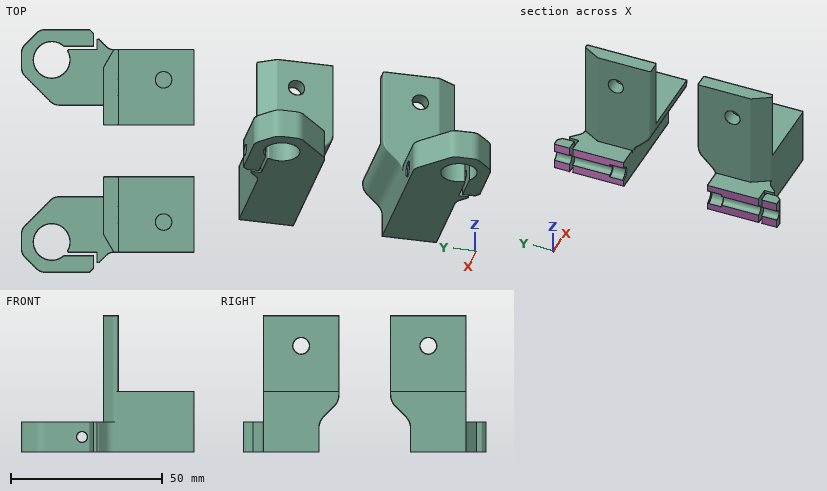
import cadquery as cq
import math

length = 57.0
half_span = 40.0
height = 45.0
edge_radius = 0.5

block_height = 20.0
block_size = 25.0
plate_thickness = 5.0
plate_back = length - block_size
plate_front = plate_back - plate_thickness
inner_face = 8.5
outer_face = inner_face + block_size
bevel_width = 6.0
bevel_depth = bevel_width * math.tan(math.radians(30))

undercut_face = 15.0
undercut_top = 16.7
undercut_bottom = undercut_top - (undercut_face - inner_face)
undercut_radius = 5.2

flange_height = 10.0
flange_radius = 4.0
bore_diameter = 12.0
bore_x = 10.0
bore_y = half_span - bore_x
outer_corner_cut = 6.2
inner_corner_cut = 10.8
slot_width = 1.0
arm_end = 23.8
arm_chamfer = 1.4
spur_front = arm_end + slot_width
spur_root = 29.0
spur_height = spur_root - spur_front
spur_root_radius = 3.0

mount_diameter = 5.4
plate_hole_z = 35.0
plate_hole_y = inner_face + block_size / 2
block_hole_x = 46.9
block_hole_y = 23.4
block_hole_depth = block_height / 2
clamp_screw_diameter = 3.5
clamp_recess_diameter = 5.0
clamp_recess_depth = clamp_recess_diameter
clamp_mouth_diameter = 5.1
clamp_mouth_depth = 0.5
clamp_screw_x = 2 * bore_x
clamp_screw_z = flange_height / 2


def cylinder(start, direction, diameter, depth):
    """Solid cylinder used to cut a hole."""
    return cq.Workplane(
        cq.Solid.makeCylinder(diameter / 2, depth, cq.Vector(*start), cq.Vector(*direction))
    )


def make_upright():
    """Bevelled plate standing in front of the block, undercut along the inner side."""
    plate = (
        cq.Workplane("XY")
        .moveTo(plate_front, inner_face)
        .lineTo(plate_back, inner_face)
        .lineTo(plate_back, outer_face)
        .lineTo(plate_front + bevel_depth, outer_face)
        .lineTo(plate_front, outer_face - bevel_width)
        .close()
        .extrude(height)
    )
    block = cq.Workplane("XY").box(block_size, block_size, block_height, centered=False)
    upright = plate.union(block.translate((plate_back, inner_face, 0)))

    undercut = (
        cq.Workplane("YZ")
        .polyline([(0, 0), (undercut_face, 0), (undercut_face, undercut_bottom),
                   (inner_face, undercut_top), (inner_face, height), (0, height)])
        .close()
        .extrude(length)
    )
    undercut = undercut.edges(
        cq.selectors.NearestToPointSelector((length / 2, undercut_face, undercut_bottom))
    ).fillet(undercut_radius)
    undercut = undercut.edges(
        cq.selectors.NearestToPointSelector((length / 2, inner_face, undercut_top))
    ).fillet(undercut_radius)
    upright = upright.cut(undercut)

    upright = upright.edges("|Z").edges(
        cq.selectors.BoxSelector((0, 0, block_height), (length, half_span, height))
    ).fillet(edge_radius)
    return upright.faces(">X").edges("|Z and >Y").fillet(edge_radius)


def make_flange():
    """Clamp flange outline with its bore, split and stop spur."""
    flange = (
        cq.Workplane("XY")
        .moveTo(plate_back, undercut_face)
        .lineTo(inner_corner_cut, undercut_face)
        .lineTo(0, undercut_face + inner_corner_cut)
        .lineTo(0, half_span - outer_corner_cut)
        .lineTo(outer_corner_cut, half_span)
        .lineTo(arm_end - arm_chamfer, half_span)
        .lineTo(arm_end, half_span - arm_chamfer)
        .lineTo(arm_end, outer_face + slot_width)
        .lineTo(bore_x, outer_face + slot_width)
        .lineTo(bore_x, outer_face)
        .lineTo(spur_front, outer_face)
        .lineTo(spur_front, outer_face + spur_height)
        .lineTo(spur_root, outer_face)
        .lineTo(plate_back, outer_face)
        .close()
        .extrude(flange_height)
    )
    corner_rounds = [
        (inner_corner_cut, undercut_face, flange_radius),
        (0, undercut_face + inner_corner_cut, flange_radius),
        (0, half_span - outer_corner_cut, flange_radius),
        (outer_corner_cut, half_span, flange_radius),
        (arm_end - arm_chamfer, half_span, edge_radius),
        (arm_end, half_span - arm_chamfer, edge_radius),
        (spur_front, outer_face + spur_height, edge_radius),
        (spur_root, outer_face, spur_root_radius),
    ]
    for x, y, radius in corner_rounds:
        corner = cq.selectors.NearestToPointSelector((x, y, flange_height / 2))
        flange = flange.edges("|Z").edges(corner).fillet(radius)
    flange = flange.cut(cylinder((bore_x, bore_y, 0), (0, 0, 1), bore_diameter, flange_height))

    lip_x = bore_x + math.sqrt((bore_diameter / 2) ** 2 - (outer_face - bore_y) ** 2)
    lip = cq.selectors.NearestToPointSelector((lip_x, outer_face, flange_height / 2))
    return flange.edges("|Z").edges(lip).fillet(edge_radius)


def make_bracket():
    """Complete bracket on the +Y side."""
    bracket = make_upright().union(make_flange())
    holes = [
        cylinder((plate_front, plate_hole_y, plate_hole_z), (1, 0, 0), mount_diameter, plate_thickness),
        cylinder((block_hole_x, block_hole_y, block_height), (0, 0, -1), mount_diameter, block_hole_depth),
        cylinder((clamp_screw_x, 0, clamp_screw_z), (0, 1, 0), clamp_screw_diameter, half_span),
        cylinder((clamp_screw_x, undercut_face, clamp_screw_z), (0, 1, 0),
                 clamp_recess_diameter, clamp_recess_depth),
        cylinder((clamp_screw_x, undercut_face, clamp_screw_z), (0, 1, 0),
                 clamp_mouth_diameter, clamp_mouth_depth),
    ]
    for hole in holes:
        bracket = bracket.cut(hole)
    return bracket


bracket = make_bracket()
mirrored_bracket = bracket.mirror("XZ")

result = cq.Compound.makeCompound([bracket.val(), mirrored_bracket.val()])